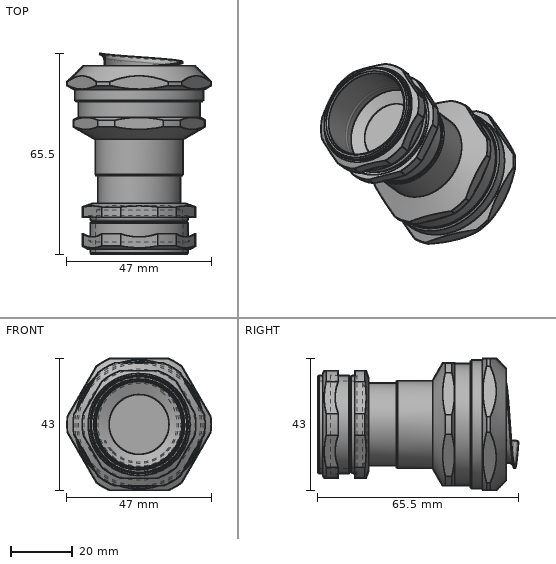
import cadquery as cq
import math


TAN_30 = math.tan(math.radians(30))
TAN_20 = math.tan(math.radians(20))

SLEEVE_RADIUS = 16.0
MOUTH_CHAMFER = 0.4
MOUTH_CHAMFER_LENGTH = 0.6
SMALL_HEX_FLATS = 35.0
SMALL_HEX_RADIUS = 18.5
MOUTH_HEX_START = 1.67
MOUTH_HEX_START_RADIUS = 16.6
MOUTH_HEX_END = 6.7
SLEEVE_END = 10.2

GROOVE_DEPTH = 0.6
GROOVE_BEVEL = 0.5
SEAL_Y = 11.8
SEAL_RING_RADIUS = 15.0
SEAL_WIRE_RADIUS = 1.0

SECOND_HEX_START = 12.18
RECESS_RADIUS = 16.75
RECESS_FLOOR = SEAL_Y + SEAL_WIRE_RADIUS
SECOND_HEX_END = 16.7
SECOND_HEX_END_RADIUS = 15.0

TUBE_RADIUS = 13.5
COLLAR_START = 25.57
COLLAR_RADIUS = 14.3
COLLAR_CHAMFER = 0.3
COLLAR_CHAMFER_LENGTH = 0.6
COLLAR_END = 37.43

BODY_HEX_FLATS = 40.0
BODY_HEX_RADIUS = 21.5
BODY_HEX_LAND = 2.13
BODY_RADIUS = 19.9

SKIRT_START = 49.65
SKIRT_CHAMFER = 0.6
SKIRT_RADIUS = 21.0
NUT_START = 53.55
NUT_HEX_FLATS = 43.0
NUT_HEX_RADIUS = 23.5
NUT_HEX_LAND = 1.22
NUT_BACK = 61.5
NUT_BACK_RADIUS = 18.1

BORE_RADIUS = 14.25
BORE_LIP_RADIUS = 14.8
BORE_DEPTH = 11.1
BORE_END_RADIUS = 14.0
TAPER_END = 12.05
CONE_START = 14.5
CONE_DEPTH = 16.0
CONE_FLOOR_RADIUS = 9.75

LIP_TOP = 65.45
LIP_INNER_RADIUS = 12.2
LIP_OUTER_RADIUS = 12.6
LIP_TIP_RADIUS = 14.2
LIP_START_ANGLE = 205.0
LIP_SWEEP_ANGLE = 250.0
LIP_PITCH = 6.3
LIP_ROOT_DEPTH = 0.5


def revolve_about_y(points):
    """Turn a closed (radius, y) outline about the Y axis."""
    return cq.Workplane("XY").polyline(points).close().revolve(360, (0, 0, 0), (0, 1, 0))


def hex_nut(points, across_flats):
    """Turned blank with six flats, two of them facing +Z and -Z."""
    blank = revolve_about_y(points)
    length = max(y for _, y in points)
    corner_diameter = across_flats / math.cos(math.radians(30))
    prism = cq.Workplane("XZ").polygon(6, corner_diameter).extrude(-length)
    return blank.intersect(prism)


def make_core():
    """Round stretches from the mouth to the skirt of the large nut."""
    groove_radius = SLEEVE_RADIUS - GROOVE_DEPTH
    seal_half_width = math.sqrt(SEAL_WIRE_RADIUS**2 - (groove_radius - SEAL_RING_RADIUS) ** 2)
    outline = (
        cq.Workplane("XY")
        .moveTo(0, 0)
        .lineTo(SLEEVE_RADIUS - MOUTH_CHAMFER, 0)
        .lineTo(SLEEVE_RADIUS, MOUTH_CHAMFER_LENGTH)
        .lineTo(SLEEVE_RADIUS, SLEEVE_END)
        .lineTo(groove_radius, SLEEVE_END + GROOVE_BEVEL)
        .lineTo(groove_radius, SEAL_Y - seal_half_width)
        .threePointArc(
            (SEAL_RING_RADIUS + SEAL_WIRE_RADIUS, SEAL_Y),
            (groove_radius, SEAL_Y + seal_half_width),
        )
        .lineTo(groove_radius, RECESS_FLOOR)
        .lineTo(TUBE_RADIUS, RECESS_FLOOR)
        .lineTo(TUBE_RADIUS, COLLAR_START)
        .lineTo(COLLAR_RADIUS - COLLAR_CHAMFER, COLLAR_START)
        .lineTo(COLLAR_RADIUS, COLLAR_START + COLLAR_CHAMFER_LENGTH)
        .lineTo(COLLAR_RADIUS, COLLAR_END)
        .lineTo(BODY_RADIUS, COLLAR_END + (BODY_RADIUS - COLLAR_RADIUS) * TAN_30)
        .lineTo(BODY_RADIUS, SKIRT_START)
        .lineTo(SKIRT_RADIUS - SKIRT_CHAMFER, SKIRT_START)
        .lineTo(SKIRT_RADIUS, SKIRT_START + SKIRT_CHAMFER)
        .lineTo(SKIRT_RADIUS, NUT_START)
        .lineTo(0, NUT_START)
        .close()
    )
    return outline.revolve(360, (0, 0, 0), (0, 1, 0))


def make_mouth_hex():
    """Hexagon with a 30 degree front chamfer and a 45 degree hollow back."""
    bevel = (SMALL_HEX_RADIUS - MOUTH_HEX_START_RADIUS) * TAN_30
    hollow = SMALL_HEX_RADIUS - SLEEVE_RADIUS
    return hex_nut([
        (0, MOUTH_HEX_START),
        (MOUTH_HEX_START_RADIUS, MOUTH_HEX_START),
        (SMALL_HEX_RADIUS, MOUTH_HEX_START + bevel),
        (SMALL_HEX_RADIUS, MOUTH_HEX_END),
        (SLEEVE_RADIUS, MOUTH_HEX_END - hollow),
        (0, MOUTH_HEX_END - hollow),
    ], SMALL_HEX_FLATS)


def make_second_hex():
    """Hexagon with a round recess in its front face that houses the sealing ring."""
    bevel = (SMALL_HEX_RADIUS - SECOND_HEX_END_RADIUS) * TAN_20
    return hex_nut([
        (0, RECESS_FLOOR),
        (RECESS_RADIUS, RECESS_FLOOR),
        (RECESS_RADIUS, SECOND_HEX_START),
        (SMALL_HEX_RADIUS, SECOND_HEX_START),
        (SMALL_HEX_RADIUS, SECOND_HEX_END - bevel),
        (SECOND_HEX_END_RADIUS, SECOND_HEX_END),
        (0, SECOND_HEX_END),
    ], SMALL_HEX_FLATS)


def make_body_hex():
    """Hexagon that grows out of the collar on a 30 degree cone."""
    land_start = COLLAR_END + (BODY_HEX_RADIUS - COLLAR_RADIUS) * TAN_30
    land_end = land_start + BODY_HEX_LAND
    back = land_end + (BODY_HEX_RADIUS - BODY_RADIUS) * TAN_30
    return hex_nut([
        (0, COLLAR_END),
        (COLLAR_RADIUS, COLLAR_END),
        (BODY_HEX_RADIUS, land_start),
        (BODY_HEX_RADIUS, land_end),
        (BODY_RADIUS, back),
        (0, back),
    ], BODY_HEX_FLATS)


def make_large_nut():
    land_start = NUT_START + (NUT_HEX_RADIUS - SKIRT_RADIUS) * TAN_30
    return hex_nut([
        (0, NUT_START),
        (SKIRT_RADIUS, NUT_START),
        (NUT_HEX_RADIUS, land_start),
        (NUT_HEX_RADIUS, land_start + NUT_HEX_LAND),
        (NUT_BACK_RADIUS, NUT_BACK),
        (0, NUT_BACK),
    ], NUT_HEX_FLATS)


def make_bore():
    """Stepped blind bore that ends in a cone with a flat floor."""
    return revolve_about_y([
        (0, 0),
        (BORE_LIP_RADIUS, 0),
        (BORE_RADIUS, BORE_LIP_RADIUS - BORE_RADIUS),
        (BORE_RADIUS, BORE_DEPTH),
        (BORE_END_RADIUS, TAPER_END),
        (BORE_END_RADIUS, CONE_START),
        (CONE_FLOOR_RADIUS, CONE_DEPTH),
        (0, CONE_DEPTH),
    ])


def make_lip():
    """Thin trumpet-shaped wall swept along a helix that sinks into the nut."""
    drop = LIP_PITCH * LIP_SWEEP_ANGLE / 360
    flare = LIP_TIP_RADIUS - LIP_OUTER_RADIUS
    wall = LIP_OUTER_RADIUS - LIP_INNER_RADIUS
    root = NUT_BACK - LIP_ROOT_DEPTH - LIP_TOP
    diagonal = math.sqrt(0.5)
    outer_arc_y = -wall - flare
    inner_arc_end = LIP_INNER_RADIUS + flare
    section = (
        cq.Workplane("XZ")
        .moveTo(LIP_INNER_RADIUS, root)
        .lineTo(LIP_OUTER_RADIUS, root)
        .lineTo(LIP_OUTER_RADIUS, outer_arc_y)
        .threePointArc(
            (LIP_TIP_RADIUS - flare * diagonal, outer_arc_y + flare * diagonal),
            (LIP_TIP_RADIUS, -wall),
        )
        .lineTo(LIP_TIP_RADIUS, 0)
        .lineTo(inner_arc_end, 0)
        .threePointArc(
            (inner_arc_end - flare * diagonal, -flare + flare * diagonal),
            (LIP_INNER_RADIUS, -flare),
        )
        .close()
    )
    helix = cq.Wire.makeHelix(LIP_PITCH, drop, LIP_OUTER_RADIUS)
    coil = section.sweep(cq.Workplane(obj=helix), isFrenet=True)
    return (
        coil.rotate((0, 0, 0), (0, 0, 1), -LIP_START_ANGLE - LIP_SWEEP_ANGLE)
        .rotate((0, 0, 0), (1, 0, 0), -90)
        .translate((0, LIP_TOP - drop, 0))
    )


result = (
    make_core()
    .union(make_mouth_hex())
    .union(make_second_hex())
    .union(make_body_hex())
    .union(make_large_nut())
    .cut(make_bore())
    .union(make_lip())
)